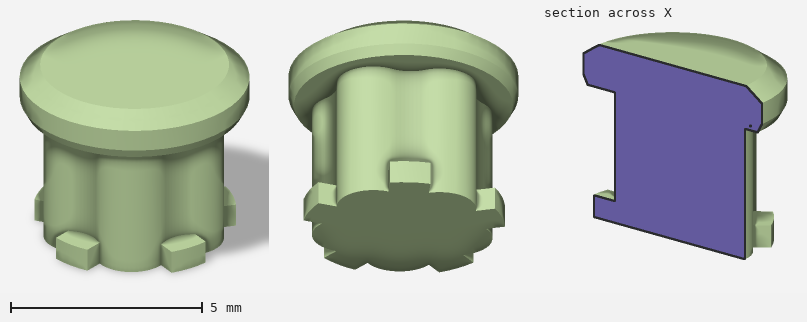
import cadquery as cq
import math

tab_height = 0.62
cap_bottom = 3.63
cap_side_bottom = 3.895
cap_side_top = 4.475
total_height = 4.84

cap_radius = 3.0
cap_top_radius = 2.465
cap_underside_radius = 2.855

lobe_count = 5
lobe_pitch = 360.0 / lobe_count
first_lobe_angle = 90.0
lobe_offset = 1.47
lobe_radius = 0.96
groove_radius = 0.9

tab_outer_radius = 2.65
tab_width = 1.055

half_pitch = math.radians(lobe_pitch / 2)
lobe_along_groove = lobe_offset * math.cos(half_pitch)
lobe_beside_groove = lobe_offset * math.sin(half_pitch)
center_distance = lobe_radius + groove_radius
groove_offset = lobe_along_groove + math.sqrt(center_distance**2 - lobe_beside_groove**2)

lobe_share = groove_radius / center_distance
tangent_along = groove_offset + (lobe_along_groove - groove_offset) * lobe_share
tangent_beside = lobe_beside_groove * lobe_share
tangent_radius = math.hypot(tangent_along, tangent_beside)
tangent_angle = math.degrees(math.atan2(tangent_beside, tangent_along))


def polar(radius, degrees):
    angle = math.radians(degrees)
    return (radius * math.cos(angle), radius * math.sin(angle))


def make_cap():
    """Disc with a sloped upper rim and a small taper underneath."""
    profile = [
        (0, cap_bottom),
        (cap_underside_radius, cap_bottom),
        (cap_radius, cap_side_bottom),
        (cap_radius, cap_side_top),
        (cap_top_radius, total_height),
        (0, total_height),
    ]
    return cq.Workplane("XZ").polyline(profile).close().revolve(360, (0, 0), (0, 1))


def make_post():
    """Solid post whose outline alternates lobe and groove arcs."""
    lobe_tip = lobe_offset + lobe_radius
    groove_bottom = groove_offset - groove_radius
    start_angle = first_lobe_angle - lobe_pitch / 2 + tangent_angle
    outline = cq.Workplane("XY").moveTo(*polar(tangent_radius, start_angle))
    for index in range(lobe_count):
        lobe_angle = first_lobe_angle + index * lobe_pitch
        groove_angle = lobe_angle + lobe_pitch / 2
        lobe_end = polar(tangent_radius, groove_angle - tangent_angle)
        groove_end = polar(tangent_radius, groove_angle + tangent_angle)
        outline = outline.threePointArc(polar(lobe_tip, lobe_angle), lobe_end)
        outline = outline.threePointArc(polar(groove_bottom, groove_angle), groove_end)
    return outline.close().extrude(cap_bottom)


def make_tabs():
    """Parallel-sided spokes at the foot, trimmed to a common outer circle."""
    spoke = cq.Workplane("XY").box(
        tab_outer_radius, tab_width, tab_height, centered=(False, True, False)
    )
    spokes = cq.Workplane("XY")
    for index in range(lobe_count):
        groove_angle = first_lobe_angle + (index + 0.5) * lobe_pitch
        spokes = spokes.add(spoke.rotate((0, 0, 0), (0, 0, 1), groove_angle))
    outer_disc = cq.Workplane("XY").circle(tab_outer_radius).extrude(tab_height)
    return outer_disc.intersect(spokes.combine())


result = make_cap().union(make_post()).union(make_tabs())